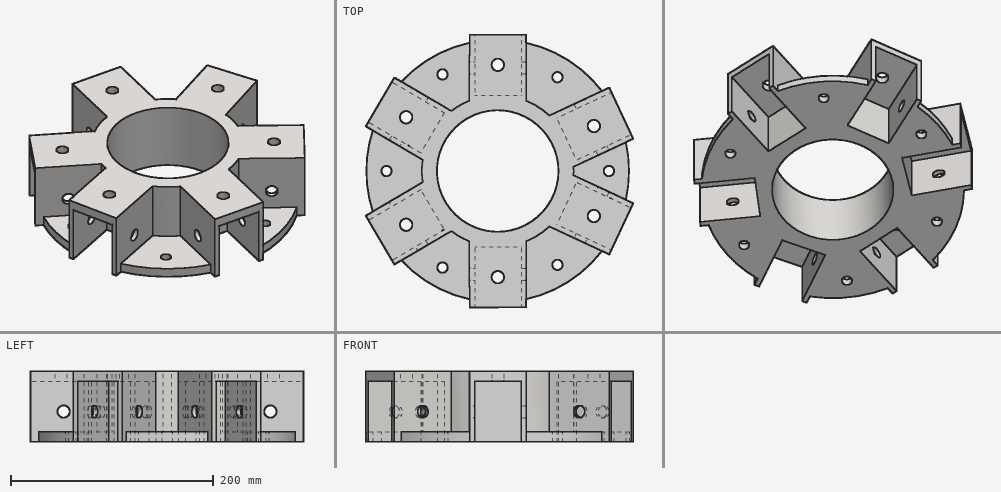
import cadquery as cq

height = 70.0
bore_radius = 60.0
hub_radius = 75.0
flange_radius = 130.0
flange_thickness = 10.0

arm_reach = 135.0
arm_width = 56.0
arm_wall = 5.0
arm_roof = 10.0
half_arm_angles = [25.08, 89.95, 149.58]
arm_angles = half_arm_angles + [360.0 - angle for angle in reversed(half_arm_angles)]
channel_width = arm_width - 2 * arm_wall
channel_height = height - arm_roof
channel_length = arm_reach - hub_radius

arm_hole_diameter = 12.0
roof_hole_distance = (hub_radius + arm_reach) / 2
side_hole_distance = 102.25
side_hole_height = 30.0
flange_hole_diameter = 10.0
flange_hole_distance = 110.0


def place(shape, angle):
    """Turn a shape modelled along +X to its angle about the hub axis."""
    return shape.rotate((0, 0, 0), (0, 0, 1), angle)


def make_hub():
    flange = cq.Workplane("XY").circle(flange_radius).extrude(flange_thickness)
    ring = cq.Workplane("XY").circle(hub_radius).extrude(height)
    return flange.union(ring)


def make_arm():
    """Solid bar from the hub axis to the arm tip."""
    return cq.Workplane("XY").box(arm_reach, arm_width, height, centered=(False, True, False))


def make_arm_cutter():
    """Channel of one arm, with its roof hole and its cross hole through both walls."""
    channel = (
        cq.Workplane("XY")
        .box(channel_length, channel_width, channel_height, centered=(False, True, False))
        .translate((hub_radius, 0, 0))
    )
    roof_hole = (
        cq.Workplane("XY")
        .center(roof_hole_distance, 0)
        .circle(arm_hole_diameter / 2)
        .extrude(height)
    )
    cross_hole = (
        cq.Workplane("XZ")
        .center(side_hole_distance, side_hole_height)
        .circle(arm_hole_diameter / 2)
        .extrude(arm_width / 2, both=True)
    )
    return channel.union(roof_hole).union(cross_hole)


def make_flange_hole():
    return (
        cq.Workplane("XY")
        .center(flange_hole_distance, 0)
        .circle(flange_hole_diameter / 2)
        .extrude(flange_thickness)
    )


def make_part():
    part = make_hub()
    for angle in arm_angles:
        part = part.union(place(make_arm(), angle))
    for angle in arm_angles:
        part = part.cut(place(make_arm_cutter(), angle))

    next_angles = arm_angles[1:] + [arm_angles[0] + 360.0]
    for angle, next_angle in zip(arm_angles, next_angles):
        part = part.cut(place(make_flange_hole(), (angle + next_angle) / 2))

    bore = cq.Workplane("XY").circle(bore_radius).extrude(height)
    return part.cut(bore)


result = make_part()